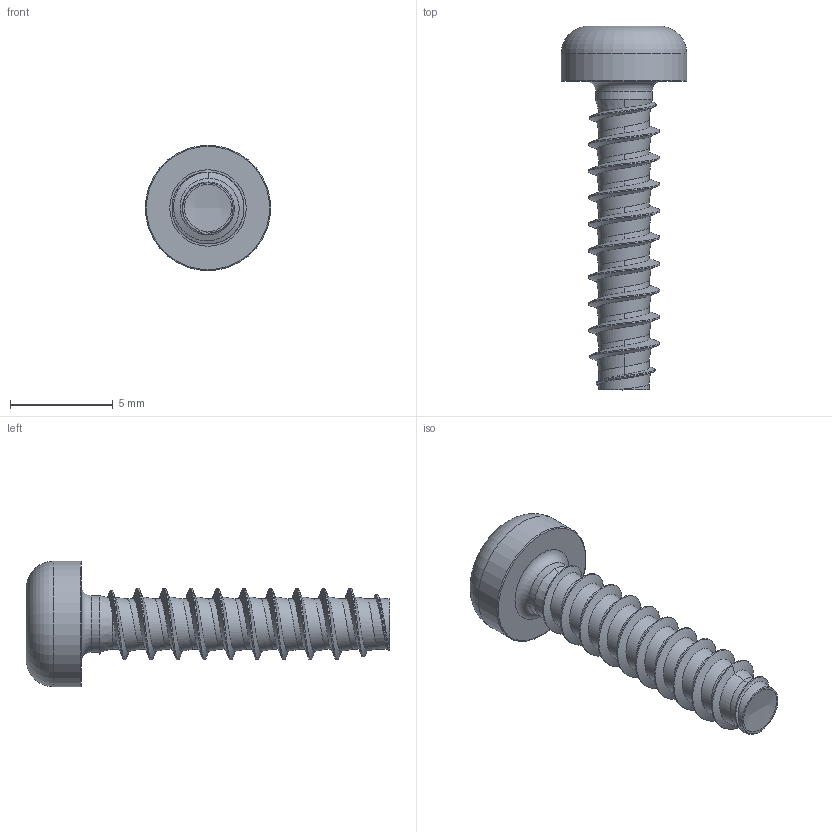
import cadquery as cq
import math


head_radius = 3.05
head_height = 2.69
head_crown_radius = 1.35
head_rim_fillet = 0.05

shank_length = 15.0
neck_radius = 1.38
neck_fillet = 0.48
neck_end = 0.88
core_radius = 1.22
core_start = 1.5

dish_radius = 1.14
dish_depth = 0.11

pitch = 1.29
crest_radius = 1.75
crest_half_width = 0.03
flank_angle = 20.0
flank_slope = math.tan(math.radians(flank_angle))
shoulder_radius = 1.33
root_cone_end = 0.80
foot_depth = 0.2
flank_overlap = 0.03

first_crest = 0.81
start_angle = -90.0
lead_in_turns = 1.0
full_turns = 8.5
run_out_turns = 1.65
lead_in_height = 0.52
run_out_height = 0.02
run_out_start = lead_in_turns + full_turns
thread_end = run_out_start + run_out_turns
points_per_turn = 16


def make_body():
    """Head, neck and plain core as one revolved solid."""
    head_side = head_height - head_crown_radius
    crown_edge = head_radius - head_crown_radius
    bend = math.sqrt(0.5)
    profile = (
        cq.Workplane("ZY")
        .moveTo(0, head_height)
        .lineTo(crown_edge, head_height)
        .threePointArc(
            (crown_edge + head_crown_radius * bend, head_side + head_crown_radius * bend),
            (head_radius, head_side),
        )
        .lineTo(head_radius, head_rim_fillet)
        .threePointArc(
            (head_radius - head_rim_fillet * (1 - bend), head_rim_fillet * (1 - bend)),
            (head_radius - head_rim_fillet, 0),
        )
        .lineTo(neck_radius + neck_fillet, 0)
        .threePointArc(
            (neck_radius + neck_fillet * (1 - bend), -neck_fillet * (1 - bend)),
            (neck_radius, -neck_fillet),
        )
        .lineTo(neck_radius, -neck_end)
        .lineTo(core_radius, -core_start)
        .lineTo(core_radius, -shank_length)
        .lineTo(0, -shank_length)
        .close()
    )
    return profile.revolve(360, (0, 0, 0), (0, 1, 0))


def thread_point(turn, radius, offset):
    """Point on the right-hand helix, `offset` towards the tip from the crest line."""
    angle = math.radians(start_angle + 360 * turn)
    distance = first_crest + pitch * turn + offset
    return cq.Vector(radius * math.cos(angle), -distance, radius * math.sin(angle))


def height_share(turn):
    """Share of the full thread height above the core at a given turn."""
    if turn < lead_in_turns:
        return lead_in_height + (1 - lead_in_height) * turn / lead_in_turns
    if turn > run_out_start:
        return 1 - (1 - run_out_height) * (turn - run_out_start) / run_out_turns
    return 1.0


def thread_profile(turn):
    """Corners (radius, offset) of the thread profile at a given turn."""
    share = height_share(turn)
    crest_height = (crest_radius - core_radius) * share
    shoulder_height = (shoulder_radius - core_radius) * share
    foot_radius = core_radius - foot_depth
    sunk_radius = core_radius - flank_overlap
    head_end = -crest_half_width - (crest_height + flank_overlap) * flank_slope
    shoulder_offset = crest_half_width + (crest_height - shoulder_height) * flank_slope
    full_cone_height = shoulder_radius - core_radius
    full_shoulder_offset = crest_half_width + (crest_radius - shoulder_radius) * flank_slope
    cone_run = (root_cone_end - full_shoulder_offset) / full_cone_height
    tip_end = root_cone_end + flank_overlap * cone_run
    return [
        (foot_radius, head_end),
        (sunk_radius, head_end),
        (core_radius + crest_height, -crest_half_width),
        (core_radius + crest_height, crest_half_width),
        (core_radius + shoulder_height, shoulder_offset),
        (sunk_radius, tip_end),
        (foot_radius, tip_end),
    ]


def profile_points(turn):
    """Corners of the thread profile placed on the helix at a given turn."""
    return [thread_point(turn, radius, offset) for radius, offset in thread_profile(turn)]


def helix_edges(first_turn, last_turn):
    """Curves swept by the corners of the thread profile between two turns."""
    steps = math.ceil((last_turn - first_turn) * points_per_turn)
    step = (last_turn - first_turn) / steps
    sections = [profile_points(first_turn + step * i) for i in range(steps + 1)]
    return [cq.Edge.makeSpline(list(path)) for path in zip(*sections)]


def end_cap(turn):
    """Flat face that closes the thread solid at one end."""
    return cq.Face.makeFromWires(cq.Wire.makePolygon(profile_points(turn), close=True))


def make_thread():
    """Helical rib with straight flanks and a conical root on its tip side."""
    breaks = [0.0, lead_in_turns, run_out_start, thread_end]
    faces = [end_cap(0.0), end_cap(thread_end)]
    for first_turn, last_turn in zip(breaks, breaks[1:]):
        edges = helix_edges(first_turn, last_turn)
        for edge, next_edge in zip(edges, edges[1:] + edges[:1]):
            faces.append(cq.Face.makeRuledSurface(edge, next_edge))
    rib = cq.Workplane(cq.Solid.makeSolid(cq.Shell.makeShell(faces)))
    return rib.intersect(threaded_zone())


def threaded_zone():
    """Cylinder between the neck and the tip that bounds the thread."""
    return cq.Workplane("XZ", origin=(0, -neck_end, 0)).circle(head_radius).extrude(shank_length - neck_end)


def make_tip_dish():
    """Sphere that hollows the tip and leaves a flat ring around the hollow."""
    sphere_radius = (dish_radius**2 + dish_depth**2) / (2 * dish_depth)
    center_y = -shank_length + dish_depth - sphere_radius
    return cq.Workplane("XY", origin=(0, center_y, 0)).sphere(sphere_radius)


result = make_body().union(make_thread()).cut(make_tip_dish())